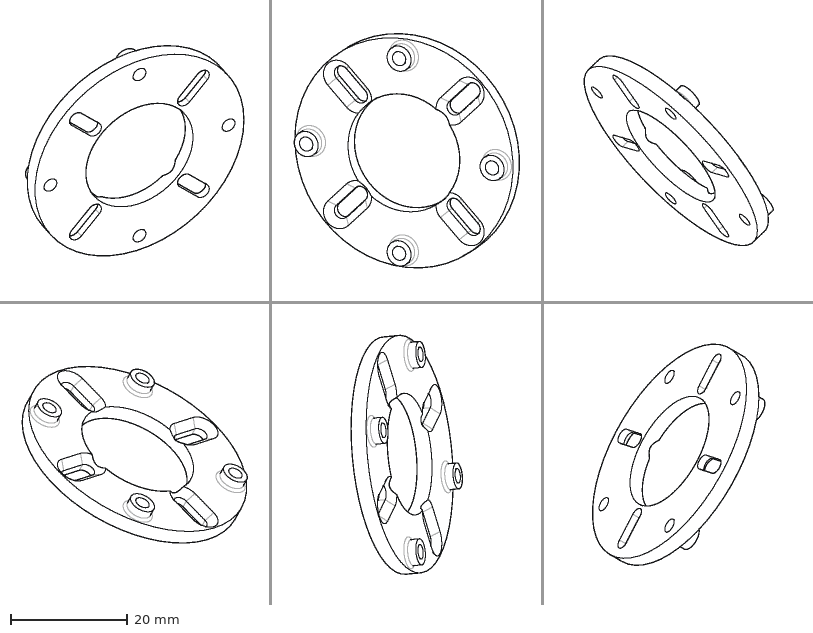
import cadquery as cq

outer_diameter = 41.05
bore_diameter = 21.0
plate_thickness = 2.8

feature_count = 4
feature_spacing = 360 / feature_count
boss_circle_radius = 17.5
boss_diameter = 4.5
boss_height = 2.0
boss_fillet = 0.5
boss_hole_diameter = 2.5

slot_first_angle = feature_spacing / 2
slot_outer_radius = boss_circle_radius
slot_inner_radius = 12.48
slot_width = 2.65
slot_mouth_width = 5.5
countersink_depth = (slot_mouth_width - slot_width) / 2

slot_center_distance = slot_outer_radius - slot_inner_radius
slot_middle_radius = (slot_outer_radius + slot_inner_radius) / 2


def around_axis(shape, first_angle):
    """Repeat a shape evenly around the X axis."""
    copies = cq.Workplane("YZ")
    for index in range(feature_count):
        angle = first_angle + index * feature_spacing
        copies = copies.add(shape.rotate((0, 0, 0), (1, 0, 0), angle))
    return copies.combine()


def make_plate():
    return (
        cq.Workplane("YZ")
        .circle(outer_diameter / 2)
        .circle(bore_diameter / 2)
        .extrude(plate_thickness)
    )


def make_boss():
    """Revolve half of a boss profile with a concave fillet at its root."""
    boss_radius = boss_diameter / 2
    arc_offset = boss_fillet * (1 - 0.5 ** 0.5)
    return (
        cq.Workplane("XY")
        .moveTo(-boss_height, 0)
        .lineTo(-boss_height, boss_radius)
        .lineTo(-boss_fillet, boss_radius)
        .threePointArc((-arc_offset, boss_radius + arc_offset), (0, boss_radius + boss_fillet))
        .lineTo(0, 0)
        .close()
        .revolve(360, (0, 0), (1, 0))
        .translate((0, boss_circle_radius, 0))
    )


def make_boss_hole():
    return (
        cq.Workplane("YZ", origin=(-boss_height, boss_circle_radius, 0))
        .circle(boss_hole_diameter / 2)
        .extrude(boss_height + plate_thickness)
    )


def make_slot():
    """Straight slot through the plate joined to its tapered mouth."""
    start = cq.Workplane("YZ", origin=(0, slot_middle_radius, 0))
    through = start.slot2D(slot_center_distance + slot_width, slot_width).extrude(plate_thickness)
    mouth = (
        start.slot2D(slot_center_distance + slot_mouth_width, slot_mouth_width)
        .workplane(offset=countersink_depth)
        .slot2D(slot_center_distance + slot_width, slot_width)
        .loft(ruled=True)
    )
    return through.union(mouth)


result = (
    make_plate()
    .union(around_axis(make_boss(), 0))
    .cut(around_axis(make_boss_hole(), 0))
    .cut(around_axis(make_slot(), slot_first_angle))
)